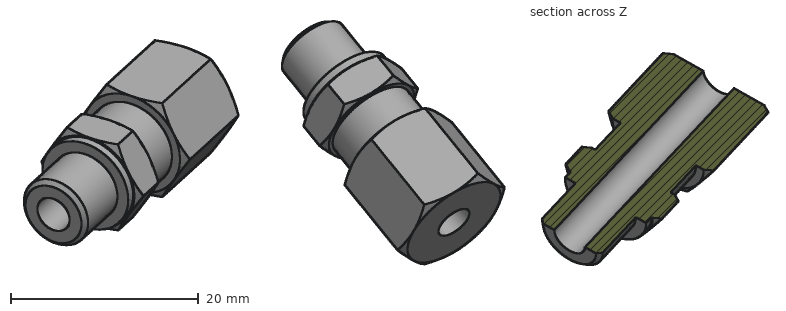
import cadquery as cq
import math

spigot_length = 6.5
collar_length = 1.0
body_hex_length = 4.0
neck_length = 4.5
total_length = 27.02
nut_length = total_length - spigot_length - collar_length - body_hex_length - neck_length

bore_diameter = 4.0
spigot_diameter = 8.0
collar_diameter = 10.7
neck_diameter = 10.0
body_hex_flats = 11.0
nut_flats = 12.0

spigot_chamfer = 0.5
hex_chamfer_angle = 30.0

tip_y = -total_length / 2
collar_y = tip_y + spigot_length
body_hex_y = collar_y + collar_length
neck_y = body_hex_y + body_hex_length
nut_y = neck_y + neck_length


def plane_at(y):
    """Plane across the axis at y, extruding towards +Y with local X along X."""
    return cq.Workplane(cq.Plane(origin=(0, y, 0), xDir=(1, 0, 0), normal=(0, 1, 0)))


def cylinder(y, diameter, length):
    return plane_at(y).circle(diameter / 2).extrude(length)


def chamfered_hex(y, flats, length):
    """Hexagon with corners on X, both ends coned down to the width across flats."""
    corner_radius = flats / math.sqrt(3)
    flat_radius = flats / 2
    cone_depth = (corner_radius - flat_radius) * math.tan(math.radians(hex_chamfer_angle))
    end_y = y + length
    prism = plane_at(y).polygon(6, 2 * corner_radius).extrude(length)
    envelope = (
        cq.Workplane("XY")
        .polyline([
            (0, y),
            (flat_radius, y),
            (corner_radius, y + cone_depth),
            (corner_radius, end_y - cone_depth),
            (flat_radius, end_y),
            (0, end_y),
        ])
        .close()
        .revolve(360, (0, 0, 0), (0, 1, 0))
    )
    return prism.intersect(envelope)


spigot = cylinder(tip_y, spigot_diameter, spigot_length).faces("<Y").chamfer(spigot_chamfer)
collar = cylinder(collar_y, collar_diameter, collar_length)
body_hex = chamfered_hex(body_hex_y, body_hex_flats, body_hex_length)
neck = cylinder(neck_y, neck_diameter, neck_length)
nut = chamfered_hex(nut_y, nut_flats, nut_length)
bore = cylinder(tip_y, bore_diameter, total_length)

result = spigot.union(collar).union(body_hex).union(neck).union(nut).cut(bore)